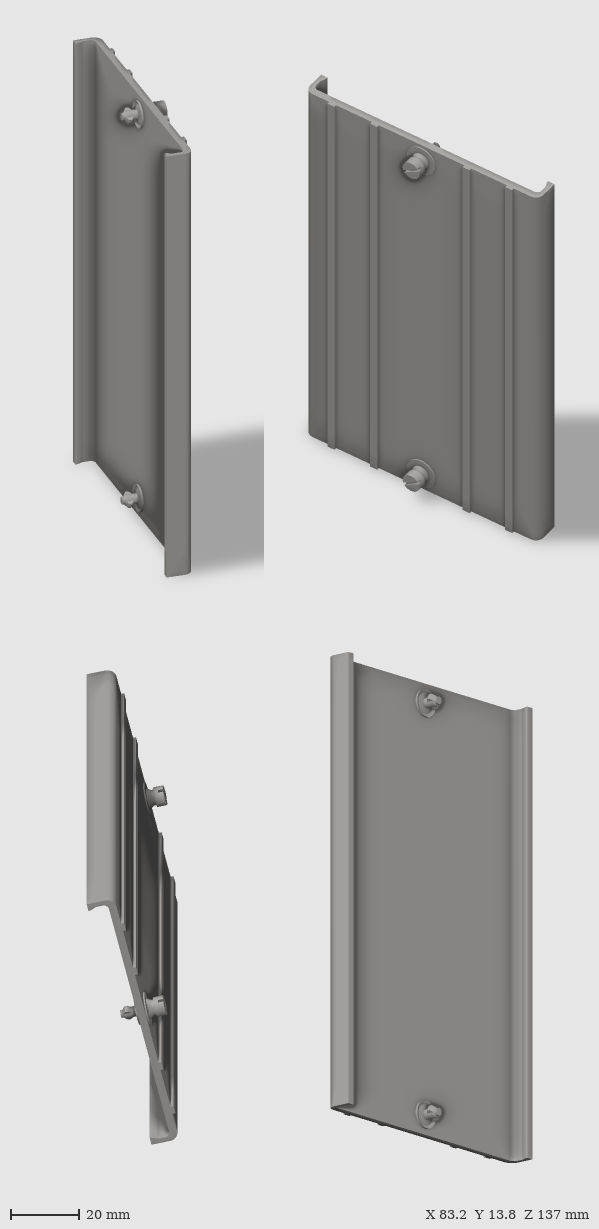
import cadquery as cq
import math

PANEL_LENGTH = 137.0
PANEL_WIDTH = 83.2
PANEL_BACK = 8.4
WEB_THICKNESS = 2.3
WEB_INSIDE = PANEL_BACK - WEB_THICKNESS
LEG_THICKNESS = 1.5
OUTER_RADIUS = 2.7
INNER_RADIUS = 1.5

LIP_REACH = 0.75
LIP_HEIGHT = 2.5
LIP_FLAT = 0.7

RIB_WIDTH = 2.5
RIB_HEIGHT = 0.89
RIB_OFFSETS = (16.5, 31.6)

FASTENER_END_DISTANCE = 6.0
FASTENER_Z = PANEL_LENGTH / 2 - FASTENER_END_DISTANCE

HEAD_DIAMETER = 5.9
HEAD_HEIGHT = 2.9
HEAD_TOP = 13.8
NECK_DIAMETER = 4.7
NECK_CONE_HEIGHT = 1.1
FOOT_HEIGHT = 0.3
FLANGE_DIAMETER = 10.0
FLANGE_THICKNESS = 0.4
SHAFT_DIAMETER = 3.2

SLOT_WIDTH = 0.8
SLOT_DEPTH = 1.5
SLOT_ANGLE = 150.0

COLLAR_DIAMETER = 8.4
COLLAR_THICKNESS = 0.7
DISH_DIAMETER = 6.5
DISH_DEPTH = 0.4

TIP_END = 0.5
TIP_END_DIAMETER = 2.3
TIP_END_HEIGHT = 0.7
TIP_CONE_TOP = 1.8
WING_SPAN = 5.0
WING_THICKNESS = 2.0
WING_FLAT_LOW = 2.2
WING_FLAT_HIGH = 3.0


def rotate_about_y(body, angle):
    """Turn a body about the Y axis, positive from +X toward +Z."""
    return body.rotate((0, 0, 0), (0, 1, 0), -angle)


def make_panel():
    half_width = PANEL_WIDTH / 2
    leg_inside = half_width - LEG_THICKNESS
    bend_x = half_width - OUTER_RADIUS
    bend_y = PANEL_BACK - OUTER_RADIUS
    inner_bend_x = leg_inside - INNER_RADIUS
    inner_bend_y = WEB_INSIDE - INNER_RADIUS
    diagonal = math.sqrt(0.5)

    right_half = (
        cq.Workplane("XY")
        .moveTo(0, PANEL_BACK)
        .lineTo(bend_x, PANEL_BACK)
        .threePointArc(
            (bend_x + OUTER_RADIUS * diagonal, bend_y + OUTER_RADIUS * diagonal),
            (half_width, bend_y),
        )
        .lineTo(half_width, 0)
        .lineTo(leg_inside - LIP_REACH, 0)
        .lineTo(leg_inside - LIP_REACH, LIP_FLAT)
        .lineTo(leg_inside, LIP_HEIGHT)
        .lineTo(leg_inside, inner_bend_y)
        .threePointArc(
            (inner_bend_x + INNER_RADIUS * diagonal, inner_bend_y + INNER_RADIUS * diagonal),
            (inner_bend_x, WEB_INSIDE),
        )
        .lineTo(0, WEB_INSIDE)
        .close()
        .extrude(PANEL_LENGTH / 2, both=True)
    )
    panel = right_half.union(right_half.mirror("YZ"))

    rib_depth = WEB_THICKNESS + RIB_HEIGHT
    for offset in RIB_OFFSETS:
        for x in (-offset, offset):
            rib = cq.Workplane("XY").box(RIB_WIDTH, rib_depth, PANEL_LENGTH)
            panel = panel.union(rib.translate((x, WEB_INSIDE + rib_depth / 2, 0)))

    for z in (-FASTENER_Z, FASTENER_Z):
        hole = cq.Workplane("XZ").circle(SHAFT_DIAMETER / 2).extrude(-HEAD_TOP)
        panel = panel.cut(hole.translate((0, 0, z)))
    return panel


def make_wings():
    """Two opposite barbed wings that cross the tip, as one flat bar through the shaft."""
    wing_radius = WING_SPAN / 2
    shaft_radius = SHAFT_DIAMETER / 2
    barb_top = WING_FLAT_HIGH + wing_radius - shaft_radius
    barb = (
        cq.Workplane("XY")
        .moveTo(0, TIP_END)
        .lineTo(TIP_END_DIAMETER / 2, TIP_END)
        .lineTo(TIP_END_DIAMETER / 2, TIP_END + TIP_END_HEIGHT)
        .lineTo(wing_radius, WING_FLAT_LOW)
        .lineTo(wing_radius, WING_FLAT_HIGH)
        .lineTo(shaft_radius, barb_top)
        .lineTo(0, barb_top)
        .close()
        .revolve(360, (0, 0, 0), (0, 1, 0))
    )
    bar = cq.Workplane("XY").box(WING_SPAN, 2 * barb_top, WING_THICKNESS)
    return rotate_about_y(barb.intersect(bar), SLOT_ANGLE)


def make_fastener():
    head_bottom = HEAD_TOP - HEAD_HEIGHT
    flange_top = PANEL_BACK + FLANGE_THICKNESS
    foot_top = flange_top + FOOT_HEIGHT
    collar_bottom = WEB_INSIDE - COLLAR_THICKNESS
    shaft_radius = SHAFT_DIAMETER / 2
    body = (
        cq.Workplane("XY")
        .moveTo(0, HEAD_TOP)
        .lineTo(HEAD_DIAMETER / 2, HEAD_TOP)
        .lineTo(HEAD_DIAMETER / 2, head_bottom)
        .lineTo(NECK_DIAMETER / 2, head_bottom)
        .lineTo(NECK_DIAMETER / 2, foot_top + NECK_CONE_HEIGHT)
        .lineTo(HEAD_DIAMETER / 2, foot_top)
        .lineTo(HEAD_DIAMETER / 2, flange_top)
        .lineTo(FLANGE_DIAMETER / 2, flange_top)
        .lineTo(FLANGE_DIAMETER / 2, PANEL_BACK)
        .lineTo(shaft_radius, PANEL_BACK)
        .lineTo(shaft_radius, WEB_INSIDE)
        .lineTo(COLLAR_DIAMETER / 2, WEB_INSIDE)
        .lineTo(COLLAR_DIAMETER / 2, collar_bottom)
        .lineTo(DISH_DIAMETER / 2, collar_bottom + DISH_DEPTH)
        .lineTo(shaft_radius, collar_bottom)
        .lineTo(shaft_radius, TIP_CONE_TOP)
        .lineTo(TIP_END_DIAMETER / 2, TIP_END + TIP_END_HEIGHT)
        .lineTo(TIP_END_DIAMETER / 2, TIP_END)
        .lineTo(0, TIP_END)
        .close()
        .revolve(360, (0, 0, 0), (0, 1, 0))
    )
    slot = cq.Workplane("XY").box(2 * HEAD_DIAMETER, 2 * SLOT_DEPTH, SLOT_WIDTH)
    slot = rotate_about_y(slot, SLOT_ANGLE).translate((0, HEAD_TOP, 0))
    return body.union(make_wings()).cut(slot)


panel = make_panel()
fasteners = [make_fastener().translate((0, 0, z)) for z in (-FASTENER_Z, FASTENER_Z)]

result = cq.Compound.makeCompound([panel.val(), *[fastener.val() for fastener in fasteners]])